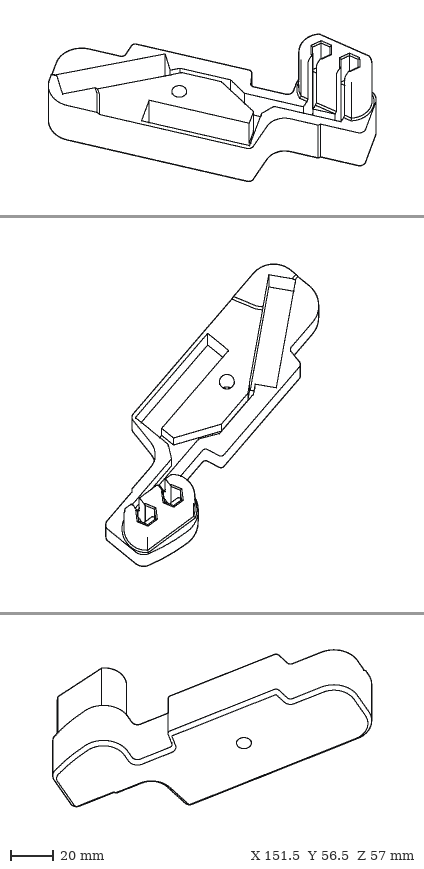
import cadquery as cq
import math

BODY_TOP = 27.0
PAD_HEIGHT = 1.2
TOTAL_HEIGHT = 57.0
POCKET_FLOOR = 2.0
CHANNEL_FLOOR = 12.0
HEX_FLOOR = 39.1
BOTTOM_CHAMFER = 1.8

LENGTH = 151.5
DEPTH = 56.5
SHOULDER_Y = 36.5
BUMP_Y = 45.6
BUMP_LEFT, BUMP_RIGHT = 31.5, 90.1
BUMP_SLANT = 1.8
BUMP_RADIUS = 2.0
END_RADIUS = 12.5
NECK_LEFT = 112.2
NECK_RADIUS = 3.0
HEAD_RADIUS = 13.0
HEAD_BACK_START_X = 128.1
HEAD_BACK_END = (148.1, 49.0)
HEAD_SIDE_END_Y = 43.6
HEAD_CORNER_RADIUS = 3.0
ARM_Y = 22.9
ARM_STEP_X = 129.2
ARM_STEP = 0.9
ARM_ROOT_X, ARM_FOOT_X = 107.8, 103.0
ARM_ROOT_RADIUS = 9.5
ARM_FOOT_RADIUS = 2.5

PAD_FOOT = [(-3, -3), (29.4, -3), (24.8, 11.8), (21.7, 17.0), (-3, 17.0)]

POCKET_WIDTH = 12.9
SLANTED_POCKET_LENGTH = 53.0
SLANTED_POCKET_CORNER = (2.0, 17.19)
SLANTED_POCKET_ANGLE = 30.0
POCKET_LEFT, POCKET_RIGHT = 48.5, 101.6
POCKET_FRONT = 2.0
POCKET_BACK = POCKET_FRONT + POCKET_WIDTH
CHANNEL_FRONT, CHANNEL_BACK = 27.9, 31.5
CHANNEL_OUTER_Y = 37.4
CHANNEL_BEND_Y = 22.1
PLATFORM_RIGHT = 97.7
PLATFORM_Y = 35.1
SCREW_HOLE_DIAMETER = 7.0
SCREW_HOLE_CENTER = (60.6, 24.0)

TOWER_CENTER = (132.0, 42.3)
TOWER_ANGLE = 13.0
TOWER_HALF_DEPTH = 8.8
TOWER_FLAT_HALF = 13.6
TOWER_END_U = 18.3
TOWER_TOP_FILLET = 1.8
TOWER_FOOT = 0.9
HEX_SPACING = 15.3
HEX_RADIUS = 4.7
HEX_LEAD_IN = 0.8
HEX_STEP_V = -0.9
WIRE_SLOT_WIDTH = 4.5

COS_T = math.cos(math.radians(TOWER_ANGLE))
SIN_T = math.sin(math.radians(TOWER_ANGLE))
HEX_OFFSETS = (-HEX_SPACING / 2, HEX_SPACING / 2)


def rounded_corner(path, before, corner, after, radius):
    """Extend the path along a line to a corner and round it towards the next point."""
    corner = cq.Vector(*corner)
    to_before = (cq.Vector(*before) - corner).normalized()
    to_after = (cq.Vector(*after) - corner).normalized()
    half_angle = to_before.getAngle(to_after) / 2
    setback = radius / math.tan(half_angle)
    bisector = (to_before + to_after).normalized()
    middle = corner + bisector * (radius / math.sin(half_angle) - radius)
    start = corner + to_before * setback
    end = corner + to_after * setback
    return path.lineTo(start.x, start.y).threePointArc((middle.x, middle.y), (end.x, end.y))


def body_outline():
    corners = [
        ((LENGTH, ARM_Y + ARM_STEP), HEAD_CORNER_RADIUS),
        ((ARM_STEP_X + ARM_STEP, ARM_Y + ARM_STEP), 0),
        ((ARM_STEP_X, ARM_Y), 0),
        ((ARM_ROOT_X, ARM_Y), ARM_ROOT_RADIUS),
        ((ARM_FOOT_X, 0), ARM_FOOT_RADIUS),
        ((0, 0), END_RADIUS),
        ((0, SHOULDER_Y), END_RADIUS),
        ((BUMP_LEFT - BUMP_SLANT, SHOULDER_Y), BUMP_RADIUS),
        ((BUMP_LEFT, BUMP_Y), BUMP_RADIUS),
        ((BUMP_RIGHT, BUMP_Y), BUMP_RADIUS),
        ((BUMP_RIGHT + BUMP_SLANT, SHOULDER_Y), BUMP_RADIUS),
        ((NECK_LEFT, SHOULDER_Y), NECK_RADIUS),
    ]
    head_start = (LENGTH, HEAD_SIDE_END_Y)
    points = [head_start] + [point for point, _ in corners] + [(NECK_LEFT, DEPTH)]
    path = cq.Workplane("XY").moveTo(*head_start)
    for i, (corner, radius) in enumerate(corners):
        if radius:
            path = rounded_corner(path, points[i], corner, points[i + 2], radius)
        else:
            path = path.lineTo(*corner)
    head_center = (NECK_LEFT + HEAD_RADIUS, DEPTH - HEAD_RADIUS)
    back_rise = math.sqrt(HEAD_RADIUS**2 - (HEAD_BACK_START_X - head_center[0]) ** 2)
    back_start = (HEAD_BACK_START_X, head_center[1] + back_rise)
    path = path.lineTo(NECK_LEFT, head_center[1])
    for arc_end in (back_start, HEAD_BACK_END, head_start):
        path = path.tangentArcPoint(arc_end, relative=False)
    return path.close()


def body():
    block = body_outline().extrude(BODY_TOP).faces("<Z").chamfer(BOTTOM_CHAMFER)
    pad = cq.Workplane("XY", origin=(0, 0, BODY_TOP)).polyline(PAD_FOOT).close().extrude(PAD_HEIGHT, taper=45)
    return block.union(pad.intersect(body_outline().extrude(TOTAL_HEIGHT)))


def tower_plane(z):
    """Workplane at height z, turned so its axes run along and across the tower."""
    plane = cq.Plane(origin=(*TOWER_CENTER, z), xDir=(COS_T, -SIN_T, 0), normal=(0, 0, 1))
    return cq.Workplane(plane)


def tower_profile(z):
    return (
        tower_plane(z)
        .moveTo(-TOWER_FLAT_HALF, TOWER_HALF_DEPTH)
        .lineTo(TOWER_FLAT_HALF, TOWER_HALF_DEPTH)
        .threePointArc((TOWER_END_U, 0), (TOWER_FLAT_HALF, -TOWER_HALF_DEPTH))
        .lineTo(-TOWER_FLAT_HALF, -TOWER_HALF_DEPTH)
        .threePointArc((-TOWER_END_U, 0), (-TOWER_FLAT_HALF, TOWER_HALF_DEPTH))
        .close()
    )


def tower():
    column = tower_profile(BODY_TOP).extrude(TOTAL_HEIGHT - BODY_TOP)
    column = column.faces(">Z").edges().fillet(TOWER_TOP_FILLET)
    foot = tower_profile(BODY_TOP).offset2D(TOWER_FOOT, "intersection").extrude(TOWER_FOOT, taper=45)
    return column.union(foot)


def wire_slot_right_edge_x(y):
    """X of the right wall of the right-hand wire slot at a given Y."""
    u = HEX_OFFSETS[1] + WIRE_SLOT_WIDTH / 2
    return TOWER_CENTER[0] + (u + SIN_T * (y - TOWER_CENTER[1])) / COS_T


def hex_seat(u):
    """Hexagonal seat with a flared mouth, and the wire slot that leads from it into the channel."""
    seat = tower_plane(HEX_FLOOR).center(u, 0).polygon(6, 2 * HEX_RADIUS).extrude(TOTAL_HEIGHT - HEX_FLOOR)
    mouth_radius = HEX_RADIUS + HEX_LEAD_IN / math.cos(math.radians(30))
    mouth = (
        tower_plane(TOTAL_HEIGHT)
        .center(u, 0)
        .polygon(6, 2 * mouth_radius)
        .extrude(-HEX_LEAD_IN, taper=45)
    )
    drop_height = TOTAL_HEIGHT - CHANNEL_FLOOR
    ahead = (
        tower_plane(CHANNEL_FLOOR)
        .center(u, HEX_STEP_V - HEX_RADIUS)
        .rect(2 * HEX_RADIUS, 2 * HEX_RADIUS)
        .extrude(drop_height)
    )
    drop = tower_plane(CHANNEL_FLOOR).center(u, 0).polygon(6, 2 * HEX_RADIUS).extrude(drop_height).intersect(ahead)
    right_u = u + WIRE_SLOT_WIDTH / 2
    slot_end_v = (CHANNEL_FRONT - TOWER_CENTER[1] + right_u * SIN_T) / COS_T
    slot = (
        tower_plane(CHANNEL_FLOOR)
        .center(u, (HEX_STEP_V + slot_end_v) / 2)
        .rect(WIRE_SLOT_WIDTH, HEX_STEP_V - slot_end_v)
        .extrude(drop_height)
    )
    return seat.union(mouth).union(drop).union(slot)


def floor_plane(z):
    return cq.Workplane("XY", origin=(0, 0, z))


def pockets():
    slanted = (
        floor_plane(POCKET_FLOOR)
        .rect(SLANTED_POCKET_LENGTH, -POCKET_WIDTH, centered=False)
        .extrude(TOTAL_HEIGHT)
        .rotate((0, 0, 0), (0, 0, 1), SLANTED_POCKET_ANGLE)
        .translate((*SLANTED_POCKET_CORNER, 0))
    )
    straight = (
        floor_plane(POCKET_FLOOR)
        .center(POCKET_LEFT, POCKET_FRONT)
        .rect(POCKET_RIGHT - POCKET_LEFT, POCKET_WIDTH, centered=False)
        .extrude(TOTAL_HEIGHT)
    )
    return slanted.union(straight)


def channel():
    outer_wall = [
        (50.9, 33.8),
        (57.1, CHANNEL_OUTER_Y),
        (82.0, CHANNEL_OUTER_Y),
        (90.4, CHANNEL_BACK),
        (wire_slot_right_edge_x(CHANNEL_BACK), CHANNEL_BACK),
    ]
    front_wall = [
        (wire_slot_right_edge_x(CHANNEL_FRONT), CHANNEL_FRONT),
        (106.0, CHANNEL_FRONT),
        (POCKET_RIGHT, CHANNEL_BEND_Y),
        (POCKET_RIGHT, POCKET_BACK),
    ]
    platform_edge = [
        (PLATFORM_RIGHT, POCKET_BACK),
        (PLATFORM_RIGHT, CHANNEL_BEND_Y),
        (78.0, PLATFORM_Y),
        (58.5, PLATFORM_Y),
        (54.2, 32.5),
    ]
    outline = outer_wall + front_wall + platform_edge
    return floor_plane(CHANNEL_FLOOR).polyline(outline).close().extrude(TOTAL_HEIGHT)


screw_hole = cq.Workplane("XY").center(*SCREW_HOLE_CENTER).circle(SCREW_HOLE_DIAMETER / 2).extrude(TOTAL_HEIGHT)

result = body().union(tower()).cut(pockets()).cut(channel()).cut(screw_hole)
for hex_u in HEX_OFFSETS:
    result = result.cut(hex_seat(hex_u))